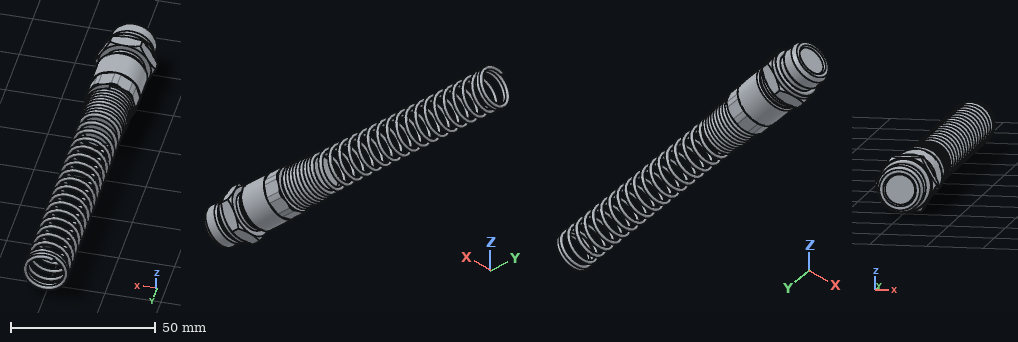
import cadquery as cq
import math

total_length = 132.6

entry_chamfer_end = 1.7
thread_end = 5.8
thread_runout_end = 6.6
flange_start = 8.9
hex_start = 10.6
hex_end = 15.5
collar_start = 17.0
collar_full = 17.8
thread_into_nut_end = 29.8

entry_face_radius = 7.2
thread_radius = 8.2
neck_radius = 7.4
collar_diameter = 15.8
collar_radius = collar_diameter / 2

hex_across_flats = 19.0
flat_radius = hex_across_flats / 2
hex_corner_radius = flat_radius / math.cos(math.radians(30))
hex_chamfer_length = (hex_corner_radius - flat_radius) * math.tan(math.radians(30))

recess_mouth_radius = 5.8
recess_floor_radius = 5.3
recess_depth = 0.8

ring_section_radius = 0.9
ring_center_radius = neck_radius + ring_section_radius
ring_center_y = 9.0

nut_start = 18.8
nut_end = 36.5
nut_radius = 9.2
nut_front_chamfer = 0.7
grip_start = 30.1
grip_radius = 9.0
grip_flat_count = 8
grip_across_flats = 17.4
grip_flat_distance = grip_across_flats / 2
grip_turn = 15.0
grip_chamfer_length = 0.4

wire_radius = 0.73
spring_outer_radius = 8.0
seat_outer_radius = 8.4
spring_radius = spring_outer_radius - wire_radius
seat_spring_radius = seat_outer_radius - wire_radius
closed_pitch = 1.6
seat_turns = 8.9
end_turns = 2.0
full_turns = 28
last_turn_angle = 25
total_turns = full_turns + last_turn_angle / 360
seat_clearance = 0.07
spring_start_y = nut_end + wire_radius + seat_clearance
spring_end_y = total_length - wire_radius
closed_length = closed_pitch * (seat_turns + end_turns)
open_length = spring_end_y - spring_start_y - closed_length
open_pitch = open_length / (total_turns - seat_turns - end_turns)
points_per_turn = 12

spigot_clearance = 0.07
spigot_radius = seat_spring_radius - wire_radius - spigot_clearance
spigot_tip_radius = spring_radius - wire_radius - spigot_clearance
spigot_taper_start = 45.1
spigot_taper_end = 48.4
spigot_end = 51.1


def revolve_profile(points):
    """Turn a closed (radius, Y) outline around the Y axis."""
    return cq.Workplane("XY").polyline(points).close().revolve(360, (0, 0, 0), (0, 1, 0))


def make_sealing_ring():
    section = cq.Workplane("XY").center(ring_center_radius, ring_center_y).circle(ring_section_radius)
    return section.revolve(360, (-ring_center_radius, 0, 0), (-ring_center_radius, 1, 0))


def make_hexagon():
    length = hex_end - hex_start
    prism = (
        cq.Workplane("XZ", origin=(0, hex_start, 0))
        .polygon(6, 2 * hex_corner_radius)
        .extrude(-length)
    )
    corner_trim = revolve_profile([
        (0, hex_start),
        (flat_radius, hex_start),
        (hex_corner_radius, hex_start + hex_chamfer_length),
        (hex_corner_radius, hex_end - hex_chamfer_length),
        (flat_radius, hex_end),
        (0, hex_end),
    ])
    return prism.intersect(corner_trim)


def make_gland_body():
    turned = revolve_profile([
        (0, recess_depth),
        (recess_floor_radius, recess_depth),
        (recess_mouth_radius, 0),
        (entry_face_radius, 0),
        (thread_radius, entry_chamfer_end),
        (thread_radius, thread_end),
        (neck_radius, thread_runout_end),
        (neck_radius, flange_start),
        (flat_radius, flange_start),
        (flat_radius, hex_start),
        (neck_radius, hex_start),
        (neck_radius, collar_start),
        (collar_radius, collar_full),
        (collar_radius, thread_into_nut_end),
        (spigot_radius, thread_into_nut_end),
        (spigot_radius, spigot_taper_start),
        (spigot_tip_radius, spigot_taper_end),
        (spigot_tip_radius, spigot_end),
        (0, spigot_end),
    ])
    return turned.union(make_hexagon()).cut(make_sealing_ring())


def make_nut():
    sleeve = revolve_profile([
        (collar_radius, nut_start),
        (nut_radius - nut_front_chamfer, nut_start),
        (nut_radius, nut_start + nut_front_chamfer),
        (nut_radius, grip_start),
        (grip_radius, grip_start),
        (grip_radius, nut_end - grip_chamfer_length),
        (grip_flat_distance, nut_end),
        (spigot_radius, nut_end),
        (spigot_radius, thread_into_nut_end),
        (collar_radius, thread_into_nut_end),
    ])
    grip_length = nut_end - grip_start
    for index in range(grip_flat_count):
        flat_cutter = cq.Workplane("XY").box(
            grip_radius, grip_length, grip_radius - grip_flat_distance, centered=(True, False, False)
        )
        flat_cutter = flat_cutter.translate((0, grip_start, grip_flat_distance))
        angle = grip_turn + index * 360 / grip_flat_count
        sleeve = sleeve.cut(flat_cutter.rotate((0, 0, 0), (0, 1, 0), angle))
    return sleeve


def spring_height(turn):
    """Y of the wire center: closed turns on the spigot, open turns, then closed turns at the free end."""
    seated = spring_start_y + closed_pitch * turn
    free_end = spring_end_y - closed_pitch * (total_turns - turn)
    open_start_y = spring_start_y + closed_pitch * seat_turns
    opened = open_start_y + open_pitch * (turn - seat_turns)
    return min(max(seated, opened), free_end)


def spring_coil_radius(height):
    """Radius of the wire center: the turns follow the taper of the spigot."""
    taper = (height - spigot_taper_start) / (spigot_taper_end - spigot_taper_start)
    taper = min(max(taper, 0), 1)
    return seat_spring_radius + taper * (spring_radius - seat_spring_radius)


def make_spring():
    point_count = math.ceil(total_turns * points_per_turn)
    path_points = []
    for index in range(point_count + 1):
        turn = total_turns * index / point_count
        height = spring_height(turn)
        radius = spring_coil_radius(height)
        angle = 2 * math.pi * turn
        path_points.append((-radius * math.sin(angle), height, radius * math.cos(angle)))
    path = cq.Workplane("XY").spline(path_points)
    section = cq.Workplane("YZ").center(spring_start_y, seat_spring_radius).circle(wire_radius)
    return section.sweep(path, isFrenet=True)


gland_body = make_gland_body()
sealing_ring = make_sealing_ring()
nut = make_nut()
spring = make_spring()

result = cq.Compound.makeCompound([
    gland_body.solids().val(),
    sealing_ring.solids().val(),
    nut.solids().val(),
    spring.solids().val(),
])